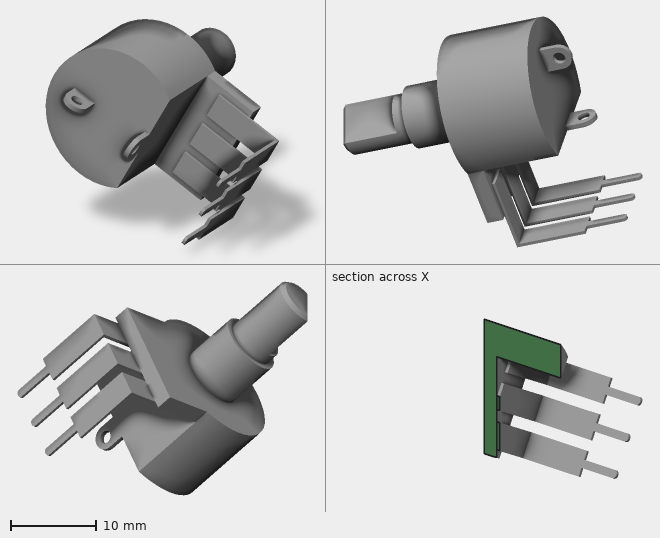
import cadquery as cq

TERMINAL_ANGLE = 30

BODY_RADIUS = 8.6
BODY_DEPTH = 11.5
FLAT_DISTANCE = 5.0
BODY_HALF_CHORD = (BODY_RADIUS**2 - FLAT_DISTANCE**2) ** 0.5

TAB_REACH = 12.0
TAB_THICKNESS = 2.0

BUSHING_DIAMETER = 7.5
BUSHING_LENGTH = 6.5
SHAFT_DIAMETER = 6.0
SHAFT_REACH = 15.0
SHAFT_CHAMFER = 0.5
SHAFT_FLAT_LENGTH = 7.0
SHAFT_FLAT_DISTANCE = 1.5

LUG_WIDTH = 3.0
LUG_LENGTH = 3.5
LUG_THICKNESS = 0.6
LUG_HOLE_DIAMETER = 1.5
INNER_LUG_OFFSET = 4.08

TERMINAL_COUNT = 3
TERMINAL_PITCH = 4.5
TERMINAL_THICKNESS = 0.4
TERMINAL_WIDTH = 3.2
TERMINAL_START = 7.5
TERMINAL_REACH = 16.5
LEG_END = 10.68
PIN_END = 15.7
PIN_WIDTH = 1.0
PIN_TIP_RADIUS = 0.43


def box(x_range, y_range, z_range):
    """Box spanning the given (low, high) range on each axis."""
    spans = [high - low for low, high in (x_range, y_range, z_range)]
    corner = (x_range[0], y_range[0], z_range[0])
    return cq.Workplane("XY").box(*spans, centered=False).translate(corner)


def turn(shape):
    """Swing a shape about the shaft axis to the terminal direction."""
    return shape.rotate((0, 0, 0), (0, 1, 0), TERMINAL_ANGLE)


def make_case():
    """Round case with one flat side and a tab along that side."""
    drum = cq.Workplane("XZ").circle(BODY_RADIUS).extrude(BODY_DEPTH)
    cutoff = box(
        (FLAT_DISTANCE, BODY_RADIUS), (-BODY_DEPTH, 0), (-BODY_RADIUS, BODY_RADIUS)
    )
    tab = box(
        (0, TAB_REACH), (-TAB_THICKNESS, 0), (-BODY_HALF_CHORD, BODY_HALF_CHORD)
    )
    return drum.cut(cutoff).union(tab)


def make_lug():
    """Round-ended lug with a hole, lying in the XY plane and centred on its thickness."""
    end_radius = LUG_WIDTH / 2
    hole_y = -BODY_DEPTH - LUG_LENGTH + end_radius
    return (
        cq.Workplane("XY")
        .moveTo(-end_radius, -BODY_DEPTH)
        .lineTo(-end_radius, hole_y)
        .threePointArc((0, hole_y - end_radius), (end_radius, hole_y))
        .lineTo(end_radius, -BODY_DEPTH)
        .close()
        .moveTo(0, hole_y)
        .circle(LUG_HOLE_DIAMETER / 2)
        .extrude(LUG_THICKNESS / 2, both=True)
    )


def make_shaft():
    """Bushing and shaft, with a flat on the -X side and a chamfer all round the tip."""
    bushing = cq.Workplane("XZ").circle(BUSHING_DIAMETER / 2).extrude(-BUSHING_LENGTH)
    shaft = cq.Workplane("XZ").circle(SHAFT_DIAMETER / 2).extrude(-SHAFT_REACH)
    flat_cut = box(
        (-SHAFT_DIAMETER, -SHAFT_FLAT_DISTANCE),
        (SHAFT_REACH - SHAFT_FLAT_LENGTH, SHAFT_REACH),
        (-SHAFT_DIAMETER, SHAFT_DIAMETER),
    )
    shaft = shaft.cut(flat_cut).faces(">Y").chamfer(SHAFT_CHAMFER)
    return bushing.union(shaft)


def make_body():
    """Case, lugs, bushing and shaft as one solid."""
    inner_lug = make_lug().translate((-INNER_LUG_OFFSET, 0, 0))
    edge_lug = (
        make_lug()
        .rotate((0, 0, 0), (0, 1, 0), 90)
        .translate((FLAT_DISTANCE - LUG_THICKNESS / 2, 0, 0))
    )
    return turn(make_case().union(inner_lug).union(edge_lug)).union(make_shaft())


def make_terminal(offset):
    """Strip under the tab, bent into a wide leg that narrows to a round-tipped pin."""
    half_width = TERMINAL_WIDTH / 2
    leg_inner_face = TERMINAL_REACH - TERMINAL_THICKNESS
    strip = box(
        (TERMINAL_START, TERMINAL_REACH),
        (-TAB_THICKNESS - TERMINAL_THICKNESS, -TAB_THICKNESS),
        (-half_width, half_width),
    )
    leg = box(
        (leg_inner_face, TERMINAL_REACH),
        (-LEG_END, -TAB_THICKNESS),
        (-half_width, half_width),
    )
    pin = box(
        (leg_inner_face, TERMINAL_REACH),
        (-PIN_END, -LEG_END),
        (-PIN_WIDTH / 2, PIN_WIDTH / 2),
    )
    pin = pin.faces("<Y").edges("|X").fillet(PIN_TIP_RADIUS)
    return turn(strip.union(leg).union(pin).translate((0, 0, offset)))


body = make_body()
terminals = [
    make_terminal((index - (TERMINAL_COUNT - 1) / 2) * TERMINAL_PITCH)
    for index in range(TERMINAL_COUNT)
]

result = cq.Compound.makeCompound([body.val(), *[terminal.val() for terminal in terminals]])